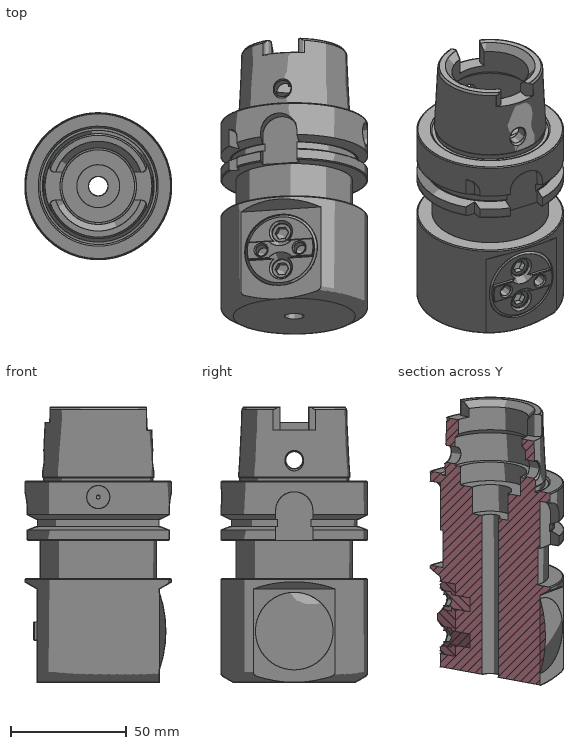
import cadquery as cq
import math

TOTAL_HEIGHT = 118.9
BODY_RADIUS = 31.7
NECK_RADIUS = 25.2
EDGE_CHAMFER = 0.5

TAPER_BASE_RADIUS = 24.1
TAPER_TOP_RADIUS = 22.7
TAPER_BASE_Z = 88.7
RIM_CHAMFER_HEIGHT = 1.1
RIM_CHAMFER_WIDTH = 0.7
UNDERCUT_DEPTH = 0.5
FACE_GROOVE_RADIUS = 25.9
FACE_GROOVE_DEPTH = 0.7

FLANGE_TOP_Z = 86.9
FLANGE_BOTTOM_Z = 61.2
GROOVE_RADIUS = 27.2
GROOVE_SHOULDER_RADIUS = 27.8
GROOVE_UPPER_EDGE_Z = 72.4
GROOVE_UPPER_Z = 70.4
GROOVE_LOWER_Z = 67.3
GROOVE_LOWER_EDGE_Z = 65.8

SHOULDER_Z = 44.8
FOOT_RADIUS = 26.4
FOOT_CHAMFER_HEIGHT = 3.0
FOOT_FILLET = 2.3
FLAT_X = 26.4
FLAT_TOP_Z = 40.3
FLAT_RUNOUT_ANGLE = 30

MOUTH_RADIUS = 19.4
BORE_RADIUS = 16.5
MOUTH_DEPTH = 2.9
CLAMP_RADIUS = 18.4
CLAMP_TOP_Z = 105.8
CLAMP_BOTTOM_Z = 91.5
FLOOR_RADIUS = 15.7
FLOOR_Z = 83.2
THREAD_RADIUS = 9.3
THREAD_BOTTOM_Z = 71.3
COOLANT_RADIUS = 4.2

NOTCH_WIDTH = 12.1
NOTCH_CORNER_RADIUS = 2.3
LEFT_NOTCH_Z = 112.2
RIGHT_NOTCH_Z = 108.9
CROSS_HOLE_RADIUS = 3.7
CROSS_HOLE_CHAMFER = 0.7
CROSS_HOLE_Z = 96.0
DRIVE_SLOT_WIDTH = 16.0
DRIVE_SLOT_TOP_Z = 82.3
DRIVE_SLOT_FLOOR_X = 26.3
SIDE_NOTCH_RADIUS = 5.2
SIDE_NOTCH_INNER_Y = 19.9
SIDE_NOTCH_TOP_Z = 79.8
SIDE_NOTCH_FLOOR_X = 20.5
CHIP_HOLE_RADIUS = 5.0
CHIP_HOLE_DEPTH = 5.0
CHIP_HOLE_Z = 80.0
CENTRE_MARK_RADIUS = 0.8
CENTRE_MARK_DEPTH = 1.0

INSERT_Z = 22.1
INSERT_RADIUS = 16.0
INSERT_FACE_RADIUS = 14.9
INSERT_DEPTH = 8.0
KEY_WIDTH = 8.0
KEY_HEIGHT = 1.5
KEY_CHAMFER = 0.4
SCREW_OFFSET = 8.1
SCREW_HEAD_RADIUS = 4.2
SCREW_HEAD_DROP = 1.8
SCREW_HEAD_HEIGHT = 4.2
SCREW_SHANK_RADIUS = 3.0
SCREW_SHANK_LENGTH = 9.5
COUNTERSINK_RADIUS = 5.1
SOCKET_FLATS = 5.1
SOCKET_DEPTH = 2.4
TAPPED_OFFSET = 8.5
TAPPED_RADIUS = 2.5
TAPPED_MOUTH_RADIUS = 3.1
TAPPED_DEPTH = 5.4
CAP_RADIUS = 16.8
CAP_HEIGHT = 2.9

DRILL_TIP_ANGLE = 59
CLEARANCE = 1.2


def cylinder(radius, bottom, top):
    return cq.Workplane("XY").workplane(offset=bottom).circle(radius).extrude(top - bottom)


def turned(outline):
    """Solid of revolution about Z from (radius, z) points."""
    return cq.Workplane("XZ").polyline(outline).close().revolve(360, (0, 0), (0, 1))


def drilled_hole(radius, bottom, top):
    """Cylinder from top to bottom that ends below in a drill tip."""
    tip = bottom - radius / math.tan(math.radians(DRILL_TIP_ANGLE))
    return turned([(0, tip), (radius, bottom), (radius, top), (0, top)])


def onto_flat(body, side):
    """Move a body built on XY, with +Z outward, onto the -X (side -1) or +X (side 1) flat."""
    return body.rotate((0, 0, 0), (0, 1, 0), side * 90).translate((side * FLAT_X, 0, INSERT_Z))


def housing_blank():
    undercut_radius = TAPER_BASE_RADIUS - UNDERCUT_DEPTH
    groove_floor_z = FLANGE_TOP_Z - FACE_GROOVE_DEPTH
    chamfered_radius = BODY_RADIUS - EDGE_CHAMFER
    blank = turned([
        (0, 0),
        (FOOT_RADIUS, 0),
        (BODY_RADIUS, FOOT_CHAMFER_HEIGHT),
        (BODY_RADIUS, SHOULDER_Z - EDGE_CHAMFER),
        (chamfered_radius, SHOULDER_Z),
        (NECK_RADIUS, SHOULDER_Z),
        (NECK_RADIUS, FLANGE_BOTTOM_Z),
        (chamfered_radius, FLANGE_BOTTOM_Z),
        (BODY_RADIUS, FLANGE_BOTTOM_Z + EDGE_CHAMFER),
        (BODY_RADIUS, GROOVE_LOWER_EDGE_Z),
        (GROOVE_SHOULDER_RADIUS, GROOVE_LOWER_Z),
        (GROOVE_RADIUS, GROOVE_LOWER_Z),
        (GROOVE_RADIUS, GROOVE_UPPER_Z),
        (GROOVE_SHOULDER_RADIUS, GROOVE_UPPER_Z),
        (BODY_RADIUS, GROOVE_UPPER_EDGE_Z),
        (BODY_RADIUS, FLANGE_TOP_Z - EDGE_CHAMFER),
        (chamfered_radius, FLANGE_TOP_Z),
        (FACE_GROOVE_RADIUS, FLANGE_TOP_Z),
        (FACE_GROOVE_RADIUS - FACE_GROOVE_DEPTH, groove_floor_z),
        (undercut_radius, groove_floor_z),
        (undercut_radius, TAPER_BASE_Z - UNDERCUT_DEPTH),
        (TAPER_BASE_RADIUS, TAPER_BASE_Z),
        (TAPER_TOP_RADIUS, TOTAL_HEIGHT - RIM_CHAMFER_HEIGHT),
        (TAPER_TOP_RADIUS - RIM_CHAMFER_WIDTH, TOTAL_HEIGHT),
        (0, TOTAL_HEIGHT),
    ])
    reach = BODY_RADIUS + CLEARANCE
    margin = 0.1
    foot_edge = cq.selectors.BoxSelector(
        (-reach, -reach, FOOT_CHAMFER_HEIGHT - margin),
        (reach, reach, FOOT_CHAMFER_HEIGHT + margin),
        boundingbox=True)
    return blank.edges(foot_edge).fillet(FOOT_FILLET)


def inner_bore():
    clamp_step = CLAMP_RADIUS - BORE_RADIUS
    return turned([
        (0, TOTAL_HEIGHT),
        (MOUTH_RADIUS, TOTAL_HEIGHT),
        (BORE_RADIUS, TOTAL_HEIGHT - MOUTH_DEPTH),
        (BORE_RADIUS, CLAMP_TOP_Z),
        (CLAMP_RADIUS, CLAMP_TOP_Z - clamp_step),
        (CLAMP_RADIUS, CLAMP_BOTTOM_Z),
        (FLOOR_RADIUS, CLAMP_BOTTOM_Z),
        (FLOOR_RADIUS, FLOOR_Z),
        (THREAD_RADIUS, FLOOR_Z),
        (THREAD_RADIUS, THREAD_BOTTOM_Z),
        (COOLANT_RADIUS, THREAD_BOTTOM_Z),
        (COOLANT_RADIUS, 0),
        (0, 0),
    ])


def rim_notch(side, floor_z):
    """Slot through one wall of the rim; the wall ends are rounded on their outer side."""
    half = NOTCH_WIDTH / 2
    r = NOTCH_CORNER_RADIUS
    centre_y = half + r
    centre_x = math.sqrt((TAPER_TOP_RADIUS - r) ** 2 - centre_y ** 2)
    end_x = centre_x * TAPER_TOP_RADIUS / (TAPER_TOP_RADIUS - r)
    end_y = centre_y * TAPER_TOP_RADIUS / (TAPER_TOP_RADIUS - r)
    middle_angle = (math.atan2(centre_y, centre_x) - math.pi / 2) / 2
    middle_x = centre_x + r * math.cos(middle_angle)
    middle_y = centre_y + r * math.sin(middle_angle)
    outline = (
        cq.Workplane("XY").workplane(offset=floor_z)
        .moveTo(0, -half)
        .lineTo(centre_x, -half)
        .threePointArc((middle_x, -middle_y), (end_x, -end_y))
        .lineTo(BODY_RADIUS, -end_y)
        .lineTo(BODY_RADIUS, end_y)
        .lineTo(end_x, end_y)
        .threePointArc((middle_x, middle_y), (centre_x, half))
        .lineTo(0, half)
        .close()
    )
    notch = outline.extrude(TOTAL_HEIGHT - floor_z)
    if side < 0:
        notch = notch.rotate((0, 0, 0), (0, 0, 1), 180)
    return notch


def cross_hole():
    """Hole through both shank walls, chamfered outside."""
    taper_slope = (TAPER_BASE_RADIUS - TAPER_TOP_RADIUS) / (TOTAL_HEIGHT - TAPER_BASE_Z)
    surface_x = TAPER_BASE_RADIUS - (CROSS_HOLE_Z - TAPER_BASE_Z) * taper_slope
    half_hole = turned([
        (0, 0),
        (CROSS_HOLE_RADIUS, 0),
        (CROSS_HOLE_RADIUS, surface_x - CROSS_HOLE_CHAMFER),
        (CROSS_HOLE_RADIUS + 2 * CROSS_HOLE_CHAMFER, surface_x + CROSS_HOLE_CHAMFER),
        (0, surface_x + CROSS_HOLE_CHAMFER),
    ])
    right = half_hole.rotate((0, 0, 0), (0, 1, 0), 90)
    left = half_hole.rotate((0, 0, 0), (0, 1, 0), -90)
    return right.union(left).translate((0, 0, CROSS_HOLE_Z))


def round_topped_slot(width, top_z, bottom_z, centre_y, floor_x):
    """Slot cut in from -X down to the plane x = -floor_x, with a round upper end."""
    r = width / 2
    reach = BODY_RADIUS + CLEARANCE
    return (
        cq.Workplane("YZ").workplane(offset=-reach)
        .moveTo(centre_y - r, bottom_z)
        .lineTo(centre_y + r, bottom_z)
        .lineTo(centre_y + r, top_z - r)
        .threePointArc((centre_y, top_z), (centre_y - r, top_z - r))
        .close()
        .extrude(reach - floor_x)
    )


def chip_hole():
    """Flat blind hole on the -Y side of the flange with a centre mark in its floor."""
    hole = cylinder(CHIP_HOLE_RADIUS, -CHIP_HOLE_DEPTH, CLEARANCE)
    mark = drilled_hole(CENTRE_MARK_RADIUS, -CHIP_HOLE_DEPTH - CENTRE_MARK_DEPTH, 0)
    hole = hole.union(mark).rotate((0, 0, 0), (1, 0, 0), 90)
    return hole.translate((0, -BODY_RADIUS, CHIP_HOLE_Z))


def side_flat():
    """Material outside the +X flat, with a sloped run-out at the top."""
    reach = BODY_RADIUS + CLEARANCE
    rise = (reach - FLAT_X) * math.tan(math.radians(FLAT_RUNOUT_ANGLE))
    outline = [(FLAT_X, 0), (reach, 0), (reach, FLAT_TOP_Z + rise), (FLAT_X, FLAT_TOP_Z)]
    return cq.Workplane("XZ").polyline(outline).close().extrude(BODY_RADIUS, both=True)


def make_housing():
    housing = housing_blank().cut(inner_bore())
    housing = housing.cut(rim_notch(-1, LEFT_NOTCH_Z)).cut(rim_notch(1, RIGHT_NOTCH_Z))
    housing = housing.cut(cross_hole()).cut(chip_hole())

    drive_slot = round_topped_slot(
        DRIVE_SLOT_WIDTH, DRIVE_SLOT_TOP_Z, FLANGE_BOTTOM_Z, 0, DRIVE_SLOT_FLOOR_X)
    for cut in (drive_slot, side_flat()):
        housing = housing.cut(cut).cut(cut.mirror("YZ"))

    side_notch = round_topped_slot(
        2 * SIDE_NOTCH_RADIUS, SIDE_NOTCH_TOP_Z, FLANGE_BOTTOM_Z,
        SIDE_NOTCH_INNER_Y + SIDE_NOTCH_RADIUS, SIDE_NOTCH_FLOOR_X)
    housing = housing.cut(side_notch)

    insert_recess = cylinder(INSERT_RADIUS, -INSERT_DEPTH, CLEARANCE)
    housing = housing.cut(onto_flat(insert_recess, -1))
    for direction in (-1, 1):
        housing = housing.cut(screw_blank(direction))
    return housing


def screw_blank(direction):
    """Screw without its socket, above (direction 1) or below (-1) the insert centre."""
    head_bottom = -SCREW_HEAD_DROP - SCREW_HEAD_HEIGHT
    head = cylinder(SCREW_HEAD_RADIUS, head_bottom, -SCREW_HEAD_DROP)
    shank = cylinder(SCREW_SHANK_RADIUS, head_bottom - SCREW_SHANK_LENGTH, head_bottom)
    return onto_flat(head.union(shank).translate((direction * SCREW_OFFSET, 0, 0)), -1)


def make_screw(direction):
    """Screw with a hexagon socket that ends in a drill tip."""
    corner_circle = SOCKET_FLATS / math.cos(math.radians(30))
    socket = (
        cq.Workplane("XY").workplane(offset=-SCREW_HEAD_DROP)
        .polygon(6, corner_circle).extrude(-SCREW_HEAD_HEIGHT)
        .rotate((0, 0, 0), (0, 0, 1), 90)
    )
    socket = socket.intersect(
        drilled_hole(corner_circle / 2, -SCREW_HEAD_DROP - SOCKET_DEPTH, 0))
    socket = socket.translate((direction * SCREW_OFFSET, 0, 0))
    return screw_blank(direction).cut(onto_flat(socket, -1))


def make_insert():
    """Round insert with a raised key across its face, both in one piece."""
    rim_step = INSERT_RADIUS - INSERT_FACE_RADIUS
    disc = turned([
        (0, -INSERT_DEPTH),
        (INSERT_RADIUS, -INSERT_DEPTH),
        (INSERT_RADIUS, -rim_step),
        (INSERT_FACE_RADIUS, 0),
        (0, 0),
    ])
    key = cq.Workplane("XY").rect(KEY_WIDTH, 2 * INSERT_RADIUS).extrude(KEY_HEIGHT)
    key = key.intersect(cylinder(INSERT_FACE_RADIUS, 0, KEY_HEIGHT))
    key = key.faces(">Z").chamfer(KEY_CHAMFER)
    insert = disc.union(key)

    head_bottom = -SCREW_HEAD_DROP - SCREW_HEAD_HEIGHT
    screw_hole = turned([
        (0, -INSERT_DEPTH),
        (SCREW_SHANK_RADIUS, -INSERT_DEPTH),
        (SCREW_SHANK_RADIUS, head_bottom),
        (SCREW_HEAD_RADIUS, head_bottom),
        (SCREW_HEAD_RADIUS, SCREW_HEAD_RADIUS - COUNTERSINK_RADIUS),
        (COUNTERSINK_RADIUS + KEY_HEIGHT, KEY_HEIGHT),
        (0, KEY_HEIGHT),
    ])

    mouth_step = TAPPED_MOUTH_RADIUS - TAPPED_RADIUS
    tapped_hole = drilled_hole(TAPPED_RADIUS, KEY_HEIGHT - TAPPED_DEPTH, KEY_HEIGHT)
    mouth = (
        cq.Workplane("XY").workplane(offset=KEY_HEIGHT)
        .circle(TAPPED_MOUTH_RADIUS).workplane(offset=-mouth_step)
        .circle(TAPPED_RADIUS).loft()
    )
    tapped_hole = tapped_hole.union(mouth)

    for direction in (-1, 1):
        insert = insert.cut(screw_hole.translate((direction * SCREW_OFFSET, 0, 0)))
        insert = insert.cut(tapped_hole.translate((0, direction * TAPPED_OFFSET, 0)))
    return onto_flat(insert, -1)


def make_cap():
    """Shallow spherical dome standing on the +X flat."""
    sphere_radius = (CAP_RADIUS ** 2 + CAP_HEIGHT ** 2) / (2 * CAP_HEIGHT)
    middle_r = CAP_RADIUS / 2
    middle_z = math.sqrt(sphere_radius ** 2 - middle_r ** 2) - sphere_radius + CAP_HEIGHT
    dome = (
        cq.Workplane("XZ").moveTo(0, 0).lineTo(CAP_RADIUS, 0)
        .threePointArc((middle_r, middle_z), (0, CAP_HEIGHT)).close()
        .revolve(360, (0, 0), (0, 1))
    )
    return onto_flat(dome, 1)


housing = make_housing()
insert = make_insert()
screws = [make_screw(direction) for direction in (-1, 1)]
cap = make_cap()

result = cq.Compound.makeCompound(
    [housing.val(), insert.val(), *[screw.val() for screw in screws], cap.val()])